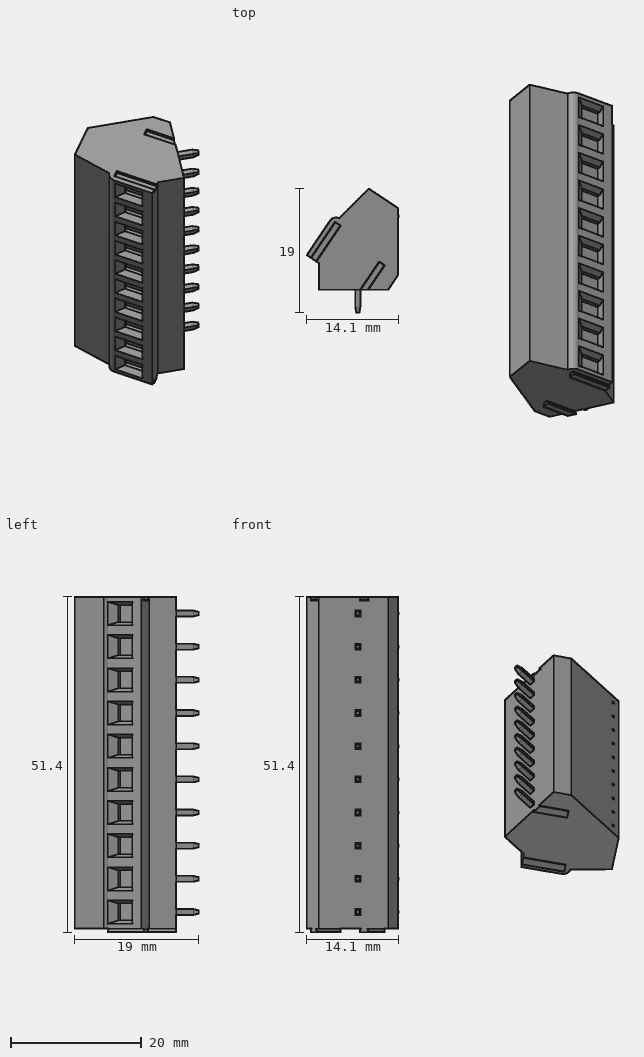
import cadquery as cq
import math


pole_count = 10
pole_pitch = 5.08
block_length = pole_count * pole_pitch

housing_width = 12.14
housing_height = 15.53
foot_length = 10.62
chamfer_height = 2.3
right_wall_top = 12.55
crest_x = 7.65
flank_base_x = 2.6

lean = math.radians(34)
ridge_tip = (-1.86, 5.35)
ridge_face_length = 7.51
ridge_depth = 2.6
ridge_round = 1.18

entry_start = 1.65
entry_length = 4.5
entry_height = 3.6
throat_length = 3.28
throat_height = 2.6
funnel_depth = 0.97
throat_depth = 0.55

dovetail_neck = 0.85
dovetail_base = 1.15
dovetail_depth = 0.6
dovetail_lip = 0.15
groove_bevel = 0.1
ridge_dovetail_inset = 1.27
ridge_dovetail_length = 6.62
foot_dovetail_end = (9.65, 4.05)

pin_x = 5.96
pin_width = 0.84
pin_height = 0.95
pin_length = 3.5
pin_tip_length = 0.9
pin_tip_width = 0.5
pin_tip_height = 0.5
pin_embed = 0.5

stub_y = 11.28
stub_size = 0.3
stub_reach = 0.11

along = (math.sin(lean), math.cos(lean))
inward = (math.cos(lean), -math.sin(lean))


def ridge_point(distance_along, depth):
    """XY point at a distance up the ridge face and a depth behind it."""
    return (
        ridge_tip[0] + distance_along * along[0] + depth * inward[0],
        ridge_tip[1] + distance_along * along[1] + depth * inward[1],
    )


def pole_heights():
    return [(pole + 0.5) * pole_pitch for pole in range(pole_count)]


def make_housing():
    """Prism whose flank falls at 45 degrees from the crest and ends inside the ridge."""
    flank_fall = crest_x - flank_base_x
    left_wall_top = ridge_tip[1] + ridge_tip[0] * math.tan(lean)
    outline = [
        (0, 0),
        (foot_length, 0),
        (housing_width, chamfer_height),
        (housing_width, right_wall_top),
        (crest_x, housing_height),
        (flank_base_x, housing_height - flank_fall),
        (0, left_wall_top),
    ]
    return cq.Workplane("XY").polyline(outline).close().extrude(block_length)


def make_ridge():
    """Leaning slab with its upper front edge rounded."""
    face_length = ridge_face_length
    bend = ridge_round * math.sin(math.radians(45))
    return (
        cq.Workplane("XY")
        .moveTo(*ridge_point(0, 0))
        .lineTo(*ridge_point(face_length - ridge_round, 0))
        .threePointArc(
            ridge_point(face_length - ridge_round + bend, ridge_round - bend),
            ridge_point(face_length, ridge_round),
        )
        .lineTo(*ridge_point(face_length, ridge_depth))
        .lineTo(*ridge_point(0, ridge_depth))
        .close()
        .extrude(block_length)
    )


def make_wire_entry(height):
    """Funnel tapering on three sides, then a short straight throat with a flat floor."""
    face = cq.Plane(origin=(*ridge_tip, height), xDir=(*along, 0), normal=(*inward, 0))
    entry_middle = entry_start + entry_length / 2
    throat_middle = entry_start + throat_length / 2
    funnel = (
        cq.Workplane(face)
        .center(entry_middle, 0)
        .rect(entry_length, entry_height)
        .workplane(offset=funnel_depth)
        .center(throat_middle - entry_middle, 0)
        .rect(throat_length, throat_height)
        .loft(ruled=True)
    )
    throat = (
        cq.Workplane(face)
        .workplane(offset=funnel_depth)
        .center(throat_middle, 0)
        .rect(throat_length, throat_height)
        .extrude(throat_depth)
    )
    return funnel.union(throat)


def make_dovetail(start, length, neck_height, bevelled):
    """Dovetail bar running up the lean direction, widening below its neck.

    A bevelled bar also widens at its mouth, to cut a groove with broken edges.
    """
    section = cq.Plane(origin=(*start, neck_height), xDir=(*inward, 0), normal=(*along, 0))
    half_neck = dovetail_neck / 2
    half_base = dovetail_base / 2
    flare_depth = dovetail_depth - dovetail_lip
    bar = (
        cq.Workplane(section)
        .polyline([
            (-half_neck, 0),
            (half_neck, 0),
            (half_base, flare_depth),
            (half_base, dovetail_depth),
            (-half_base, dovetail_depth),
            (-half_base, flare_depth),
        ])
        .close()
        .extrude(length)
    )
    if not bevelled:
        return bar
    half_mouth = half_neck + groove_bevel
    mouth = (
        cq.Workplane(section)
        .polyline([
            (-half_mouth, 0),
            (half_mouth, 0),
            (half_neck, groove_bevel),
            (-half_neck, groove_bevel),
        ])
        .close()
        .extrude(length)
    )
    return bar.union(mouth)


def make_ridge_dovetail(neck_height, bevelled):
    return make_dovetail(ridge_point(0, ridge_dovetail_inset), ridge_dovetail_length, neck_height, bevelled)


def make_foot_dovetail(neck_height, bevelled):
    """Dovetail ending at its upper end point and cut flush with the foot face."""
    run = foot_dovetail_end[1] / along[1] + dovetail_base
    start = (foot_dovetail_end[0] - run * along[0], foot_dovetail_end[1] - run * along[1])
    bar = make_dovetail(start, run, neck_height, bevelled)
    above_foot = (
        cq.Workplane("XY", origin=(0, 0, neck_height - dovetail_depth))
        .rect(housing_width, housing_height, centered=False)
        .extrude(dovetail_depth)
    )
    return bar.intersect(above_foot)


def make_pin(height):
    """Rectangular solder pin with a pyramid tip, reaching down along -Y."""
    shank_length = pin_length - pin_tip_length
    foot = cq.Plane(origin=(pin_x, 0, height), xDir=(1, 0, 0), normal=(0, -1, 0))
    shank = (
        cq.Workplane(foot)
        .workplane(offset=-pin_embed)
        .rect(pin_width, pin_height)
        .extrude(pin_embed + shank_length)
    )
    tip = (
        cq.Workplane(foot)
        .workplane(offset=shank_length)
        .rect(pin_width, pin_height)
        .workplane(offset=pin_tip_length)
        .rect(pin_tip_width, pin_tip_height)
        .loft(ruled=True)
    )
    return shank.union(tip)


def make_stub(height):
    return cq.Workplane("XY").box(2 * stub_reach, stub_size, stub_size).translate(
        (housing_width, stub_y, height)
    )


result = make_housing().union(make_ridge())

for height in pole_heights():
    result = result.cut(make_wire_entry(height))
    result = result.union(make_pin(height)).union(make_stub(height))

for make_joint in (make_ridge_dovetail, make_foot_dovetail):
    result = result.cut(make_joint(block_length, True)).union(make_joint(0, False))